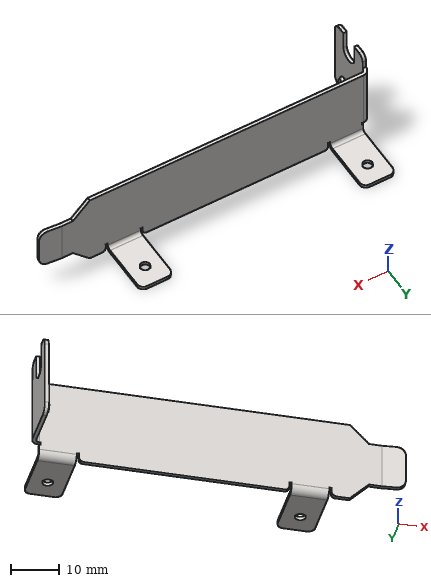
import cadquery as cq
import math

thickness = 0.86
inner_bend_radius = thickness
outer_bend_radius = inner_bend_radius + thickness

overall_length = 80.08
overall_depth = 26.14
overall_height = 22.0

plate_height = 18.42
shoulder_x = 68.1
tongue_height = 10.19
taper = (plate_height - tongue_height) / 2
tongue_start_x = shoulder_x + taper
plate_front_y = -thickness

tip_bend_x = 74.9
tip_angle = 5.0
tip_corner_radius = 2.0

flange_depth = 12.88
flange_bottom_z = 3.42
flange_edge_y = -flange_depth
flange_corner_radius = 2.0
flange_bend_side_radius = 1.5

slot_width = 4.3
slot_depth = 6.6
slot_to_flange_edge = 5.6
slot_y = flange_edge_y + slot_to_flange_edge

nub_base_diameter = 2.8
nub_top_diameter = 2.1
nub_height = 0.76
nub_to_flange_edge = 3.75
nub_y = flange_edge_y + nub_to_flange_edge
nub_z = 6.6

tab_width = 8.0
tab_pitch = 54.0
tab_starts = [outer_bend_radius, outer_bend_radius + tab_pitch]
tab_reach = overall_depth - flange_depth
tab_corner_radius = 1.5
tab_hole_diameter = 2.26
tab_hole_to_end = 4.9

relief_width = 0.5
relief_overrun = 0.28
relief_corner_radius = 1.0
relief_top_z = outer_bend_radius + relief_overrun


def box(x_range, y_range, z_range):
    """Axis-aligned block given by its (low, high) limits."""
    size = [high - low for low, high in (x_range, y_range, z_range)]
    corner = (x_range[0], y_range[0], z_range[0])
    return cq.Workplane("XY").box(*size, centered=False).translate(corner)


def bend_profile(plane, corner, along, across):
    """Quarter-ring bend section.

    `corner` is the sharp corner where the outer faces would meet; `along` and
    `across` are the signed directions (+1 or -1) from it to the bend center.
    """
    corner_u, corner_v = corner
    center_u = corner_u + along * outer_bend_radius
    center_v = corner_v + across * outer_bend_radius
    diagonal = math.sqrt(0.5)

    def on_arc(radius):
        return (center_u - along * radius * diagonal, center_v - across * radius * diagonal)

    return (
        cq.Workplane(plane)
        .moveTo(center_u, corner_v)
        .threePointArc(on_arc(outer_bend_radius), (corner_u, center_v))
        .lineTo(corner_u + along * thickness, center_v)
        .threePointArc(on_arc(inner_bend_radius), (center_u, corner_v + across * thickness))
        .close()
    )


def rounded_relief_corner(edge_x, side):
    """Waste that rounds the plate's bottom corner at edge_x, plate lying on `side`."""
    radius = relief_corner_radius
    offset = radius * (1 - math.sqrt(0.5))
    return (
        cq.Workplane("XZ")
        .moveTo(edge_x, 0)
        .lineTo(edge_x + side * radius, 0)
        .threePointArc((edge_x + side * offset, offset), (edge_x, radius))
        .close()
        .extrude(thickness)
    )


def make_plate():
    """Flat plate with tapered shoulders, up to the tip bend, with bend reliefs."""
    tongue_bottom_z = taper
    tongue_top_z = plate_height - taper
    plate = (
        cq.Workplane("XZ")
        .moveTo(outer_bend_radius, 0)
        .lineTo(shoulder_x, 0)
        .lineTo(tongue_start_x, tongue_bottom_z)
        .lineTo(tip_bend_x, tongue_bottom_z)
        .lineTo(tip_bend_x, tongue_top_z)
        .lineTo(tongue_start_x, tongue_top_z)
        .lineTo(shoulder_x, plate_height)
        .lineTo(outer_bend_radius, plate_height)
        .close()
        .extrude(thickness)
    )
    sheet = (plate_front_y, 0)
    for start in tab_starts:
        end = start + tab_width
        plate = plate.cut(box((start, end), sheet, (0, outer_bend_radius)))
        plate = plate.cut(box((end, end + relief_width), sheet, (0, relief_top_z)))
        plate = plate.cut(rounded_relief_corner(end + relief_width, 1))
        if start > tab_starts[0]:
            plate = plate.cut(box((start - relief_width, start), sheet, (0, relief_top_z)))
            plate = plate.cut(rounded_relief_corner(start - relief_width, -1))
    flange_relief = box(
        (outer_bend_radius, outer_bend_radius + relief_overrun),
        sheet,
        (flange_bottom_z - relief_width, flange_bottom_z),
    )
    return plate.cut(flange_relief)


def make_tip():
    """Rounded end of the tongue, folded forward about its back edge."""
    tip_length = (overall_length - tip_bend_x) / math.cos(math.radians(tip_angle))
    tip = box(
        (tip_bend_x, tip_bend_x + tip_length),
        (plate_front_y, 0),
        (taper, plate_height - taper),
    )
    tip = tip.edges("|Y and >X").fillet(tip_corner_radius)
    return tip.rotate((tip_bend_x, 0, 0), (tip_bend_x, 0, 1), -tip_angle)


def make_flange():
    """Screw flange with its bend, open slot and nub."""
    flange_top_y = -outer_bend_radius
    flange = box((0, thickness), (flange_edge_y, flange_top_y), (flange_bottom_z, overall_height))
    flange = flange.edges("|X and <Y").fillet(flange_corner_radius)
    flange = flange.edges("|X and >Y and >Z").fillet(flange_bend_side_radius)

    slot_radius = slot_width / 2
    slot_center_z = overall_height - slot_depth + slot_radius
    slot = box(
        (0, thickness),
        (slot_y - slot_radius, slot_y + slot_radius),
        (slot_center_z, overall_height),
    )
    slot_end = cq.Workplane("YZ").center(slot_y, slot_center_z).circle(slot_radius).extrude(thickness)
    flange = flange.cut(slot).cut(slot_end)

    bend = bend_profile("XY", (0, 0), 1, -1).extrude(plate_height - flange_bottom_z)
    bend = bend.translate((0, 0, flange_bottom_z))

    nub = (
        cq.Workplane("YZ", origin=(thickness, nub_y, nub_z))
        .circle(nub_base_diameter / 2)
        .workplane(offset=nub_height)
        .circle(nub_top_diameter / 2)
        .loft()
    )
    return flange.union(bend).union(nub)


def make_tab(start):
    """Horizontal tab with a screw hole, and the bend that joins it to the plate."""
    bend = bend_profile("YZ", (plate_front_y, 0), 1, 1).extrude(tab_width)
    bend = bend.translate((start, 0, 0))

    bend_end_y = plate_front_y + outer_bend_radius
    tab = box((start, start + tab_width), (bend_end_y, tab_reach), (0, thickness))
    tab = tab.edges("|Z and >Y").fillet(tab_corner_radius)
    hole = (
        cq.Workplane("XY")
        .center(start + tab_width / 2, tab_reach - tab_hole_to_end)
        .circle(tab_hole_diameter / 2)
        .extrude(thickness)
    )
    return tab.cut(hole).union(bend)


result = make_plate().union(make_tip()).union(make_flange())
for tab_start in tab_starts:
    result = result.union(make_tab(tab_start))